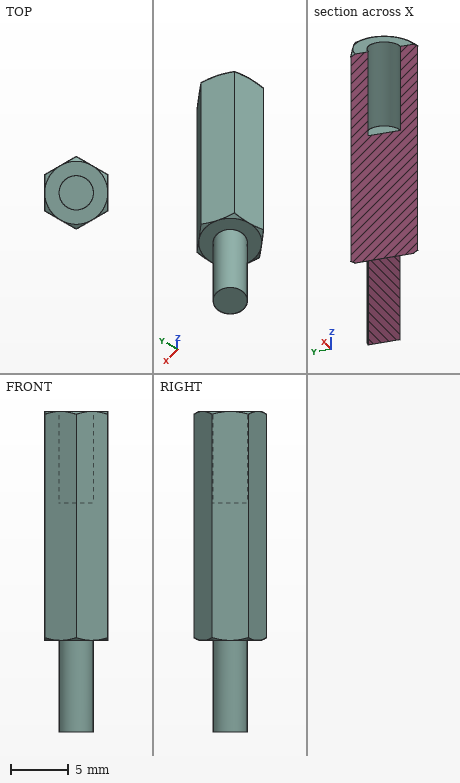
import cadquery as cq
import math

total_length = 28.0
stud_length = 8.0
sleeve_length = total_length - stud_length

across_corners = 6.35
across_flats = across_corners * math.cos(math.radians(30))

thread_diameter = 3.0
hole_depth = stud_length

chamfer_angle = 30.0
chamfer_height = (across_corners - across_flats) / 2 * math.tan(math.radians(chamfer_angle))


def make_chamfer_envelope():
    """Round bar with chamfered ends, used to trim the hexagon's corners."""
    end_radius = across_flats / 2
    corner_radius = across_corners / 2
    return (
        cq.Workplane("XZ")
        .moveTo(0, 0)
        .lineTo(end_radius, 0)
        .lineTo(corner_radius, chamfer_height)
        .lineTo(corner_radius, sleeve_length - chamfer_height)
        .lineTo(end_radius, sleeve_length)
        .lineTo(0, sleeve_length)
        .close()
        .revolve(360, (0, 0, 0), (0, 1, 0))
    )


def make_sleeve():
    """Hexagonal sleeve with chamfered corners and a blind hole in its top."""
    hexagon = (
        cq.Workplane("XY")
        .polygon(6, across_corners)
        .extrude(sleeve_length)
        .rotate((0, 0, 0), (0, 0, 1), 90)
    )
    hole = (
        cq.Workplane("XY", origin=(0, 0, sleeve_length - hole_depth))
        .circle(thread_diameter / 2)
        .extrude(hole_depth)
    )
    return hexagon.intersect(make_chamfer_envelope()).cut(hole)


def make_stud():
    """Plain round stud that hangs from the sleeve's bottom face."""
    return cq.Workplane("XY").circle(thread_diameter / 2).extrude(-stud_length)


sleeve = make_sleeve()
stud = make_stud()

result = cq.Compound.makeCompound([sleeve.solids().val(), stud.val()])